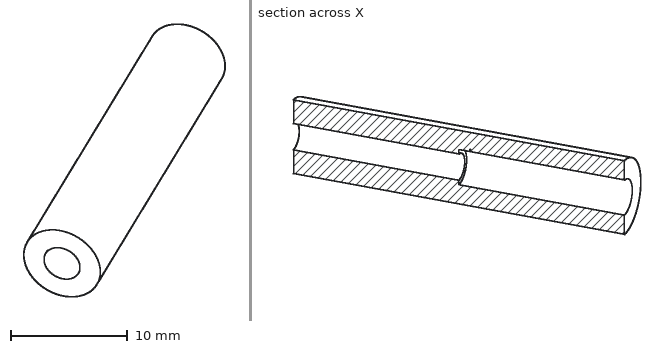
import cadquery as cq

length = 31.0
outer_diameter = 7.0
wide_bore_diameter = 3.3
narrow_bore_diameter = 2.45
wide_bore_depth = length / 2


def cylinder_from_front(diameter, depth):
    """Cylinder on the Y axis, running from the -Y end face toward +Y."""
    front_plane = cq.Plane(origin=(0, -length / 2, 0), xDir=(1, 0, 0), normal=(0, 1, 0))
    return cq.Workplane(front_plane).circle(diameter / 2).extrude(depth)


body = cylinder_from_front(outer_diameter, length)
narrow_bore = cylinder_from_front(narrow_bore_diameter, length)
wide_bore = cylinder_from_front(wide_bore_diameter, wide_bore_depth)

result = body.cut(narrow_bore).cut(wide_bore)